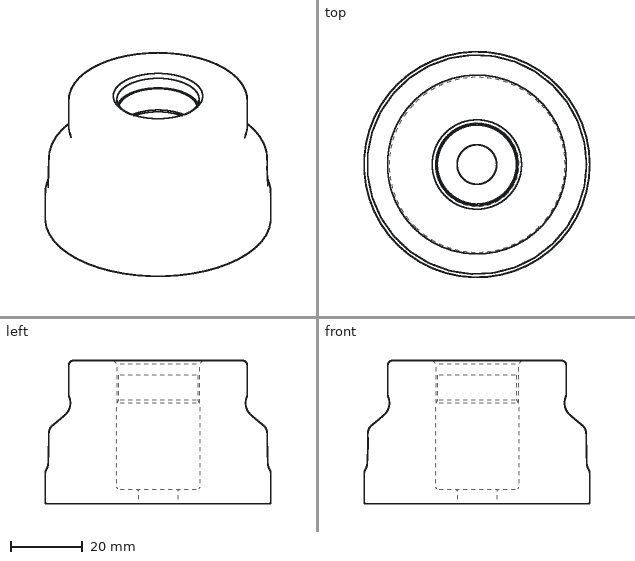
import cadquery as cq
import math

height = 40.0
base_radius = 31.5
head_radius = 24.95

foot_round = 0.45
base_blend = 2.0
waist_blend = 4.05
shoulder_round = 2.9
neck_round = 4.5
head_blend = 2.0
head_round = 1.5

base_wall_top = 8.45
waist_bottom = 11.5
shoulder_radius = 30.5
cone_slope = 40.0
neck_center_z = 28.1
head_wall_bottom = 30.55

bore_radius = 11.45
mouth_chamfer = 1.0
sleeve_inner_radius = 11.0
sleeve_top = height - 4.1
sleeve_bottom = height - 11.85
sleeve_flare_height = 0.9

cup_radius = 11.65
cup_flare_height = 0.7
floor_thickness = 4.05
floor_round = 0.95
hole_radius = 5.5
hole_round = 0.5


def arc_point(center, radius, degrees):
    """Point on a circle in the radius-height plane."""
    angle = math.radians(degrees)
    return (center[0] + radius * math.cos(angle), center[1] + radius * math.sin(angle))


def add_arc(outline, center, radius, start, end):
    """Add an arc between two angles to the outline, which already stands at the start of it."""
    middle = arc_point(center, radius, (start + end) / 2)
    return outline.threePointArc(middle, arc_point(center, radius, end))


def add_line_and_arc(outline, center, radius, start, end):
    """Add a straight line to the start of an arc, then the arc itself."""
    outline = outline.lineTo(*arc_point(center, radius, start))
    return add_arc(outline, center, radius, start, end)


def s_curve(convex_center, convex_radius, rise, concave_radius):
    """Turning angle and concave center of two tangent arcs whose centers differ in height by rise."""
    span = convex_radius + concave_radius
    turn = math.degrees(math.asin(rise / span))
    return turn, arc_point(convex_center, span, turn)


def revolve(outline):
    """Close an outline in the radius-height plane and turn it about the Z axis."""
    return outline.close().revolve(360, (0, 0, 0), (0, 1, 0))


def make_blank():
    """Housing without its cavity: base, waist, cone, neck and head."""
    foot_center = (base_radius - foot_round, foot_round)

    base_center = (base_radius - base_blend, base_wall_top)
    waist_turn, waist_center = s_curve(
        base_center, base_blend, waist_bottom - base_wall_top, waist_blend
    )

    head_blend_center = (head_radius - head_blend, head_wall_bottom)
    neck_turn, neck_center = s_curve(
        head_blend_center, head_blend, neck_center_z - head_wall_bottom, neck_round
    )

    cone_normal = 90 - cone_slope
    cone_top = arc_point(neck_center, neck_round, 180 + cone_normal)
    shoulder_center_x = shoulder_radius - shoulder_round
    cone_bottom_x = shoulder_center_x + shoulder_round * math.cos(math.radians(cone_normal))
    cone_drop = (cone_bottom_x - cone_top[0]) * math.tan(math.radians(cone_slope))
    shoulder_center_z = cone_top[1] - cone_drop - shoulder_round * math.sin(math.radians(cone_normal))
    shoulder_center = (shoulder_center_x, shoulder_center_z)

    head_center = (head_radius - head_round, height - head_round)

    outline = cq.Workplane("XZ")
    outline = add_line_and_arc(outline, foot_center, foot_round, -90, 0)
    outline = add_line_and_arc(outline, base_center, base_blend, 0, waist_turn)
    outline = add_arc(outline, waist_center, waist_blend, 180 + waist_turn, 180)
    outline = add_line_and_arc(outline, shoulder_center, shoulder_round, 0, cone_normal)
    outline = add_line_and_arc(outline, neck_center, neck_round, 180 + cone_normal, 180 + neck_turn)
    outline = add_arc(outline, head_blend_center, head_blend, neck_turn, 0)
    outline = add_line_and_arc(outline, head_center, head_round, 0, 90)
    return revolve(outline.lineTo(0, height))


def make_cavity():
    """Chamfered bore that flares out into a cup with a rounded floor corner."""
    corner_center = (cup_radius - floor_round, floor_thickness + floor_round)
    outline = cq.Workplane("XZ").moveTo(0, floor_thickness)
    outline = add_line_and_arc(outline, corner_center, floor_round, -90, 0)
    outline = outline.lineTo(cup_radius, sleeve_bottom - cup_flare_height)
    outline = outline.lineTo(bore_radius, sleeve_bottom)
    outline = outline.lineTo(bore_radius, height - mouth_chamfer)
    outline = outline.lineTo(bore_radius + mouth_chamfer, height)
    return revolve(outline.lineTo(0, height))


def make_floor_hole():
    """Hole through the floor, rounded at its upper edge."""
    rim_center = (hole_radius + hole_round, floor_thickness - hole_round)
    outline = cq.Workplane("XZ").lineTo(hole_radius, 0)
    outline = add_line_and_arc(outline, rim_center, hole_round, 180, 90)
    return revolve(outline.lineTo(0, floor_thickness))


def make_housing():
    return make_blank().cut(make_cavity()).cut(make_floor_hole())


def make_sleeve():
    """Thin sleeve in the bore, its inside flaring out to a sharp lower edge."""
    outline = cq.Workplane("XZ").moveTo(bore_radius, sleeve_bottom)
    outline = outline.lineTo(bore_radius, sleeve_top)
    outline = outline.lineTo(sleeve_inner_radius, sleeve_top)
    outline = outline.lineTo(sleeve_inner_radius, sleeve_bottom + sleeve_flare_height)
    return revolve(outline)


housing = make_housing()
sleeve = make_sleeve()

result = cq.Compound.makeCompound([housing.val(), sleeve.val()])